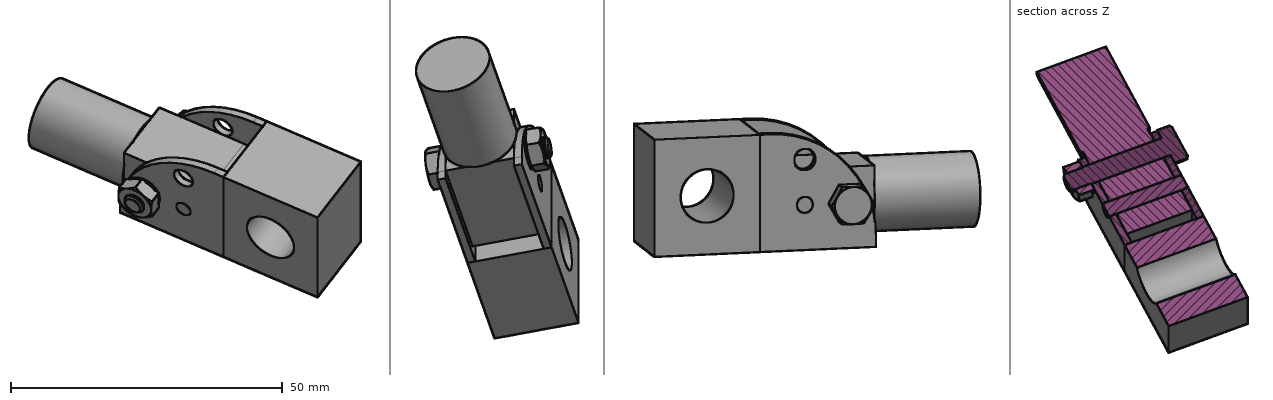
import cadquery as cq
import math

block_length = 20.0
block_width = 16.0
block_height = 22.0
block_hole_diameter = 10.0

plate_length = 22.0
plate_thickness = 1.5
plate_arc_radius = 20.0

shank_length = 20.0
shank_diameter = 14.0
head_length = 20.0
head_size = block_width - 2 * plate_thickness
head_fillet = 2.0

axis_height = 8.5
lock_radius = 8.5
pin_diameter = 3.0
bolt_diameter = 4.0
bolt_length = 20.0
bolt_head_height = 2.8
bolt_tip_chamfer = 0.4
hex_across_flats = 7.0
hex_chamfer_angle = 30.0
nut_height = 3.2
washer_face_height = 0.4
washer_face_diameter = 7.0

plate_start = shank_length
block_start = plate_start + plate_length
head_end = shank_length + head_length
pivot_x = head_end - head_size / 2
bolt_x = pivot_x - lock_radius
hole_z = axis_height + lock_radius
half_width = block_width / 2
half_hex_angle = 30.0
hex_across_corners = hex_across_flats / math.cos(math.radians(half_hex_angle))


def rod_y(x, z, diameter, y_start, length):
    """Round bar along +Y from y_start."""
    rod = cq.Workplane("XY").circle(diameter / 2).extrude(length)
    return place_on_y(rod, x, z, y_start, 1)


def place_on_y(shape, x, z, y_start, direction):
    """Turn a shape built up along +Z so that it points along Y, and move it to (x, y_start, z)."""
    turned = shape.rotate((0, 0, 0), (1, 0, 0), -90 * direction)
    return turned.translate((x, y_start, z))


def chamfered_hex(height):
    """Hexagonal prism along +Z, corners on X, with its far corners turned to a cone."""
    prism = cq.Workplane("XY").polygon(6, hex_across_corners).extrude(height)
    flat_radius = hex_across_flats / 2
    corner_radius = hex_across_corners / 2
    drop = (corner_radius - flat_radius) * math.tan(math.radians(hex_chamfer_angle))
    envelope = (
        cq.Workplane("XZ")
        .moveTo(0, 0)
        .lineTo(corner_radius, 0)
        .lineTo(corner_radius, height - drop)
        .lineTo(flat_radius, height)
        .lineTo(0, height)
        .close()
        .revolve(360, (0, 0, 0), (0, 1, 0))
    )
    return prism.intersect(envelope)


def make_block():
    block = cq.Workplane("XY").box(block_length, block_width, block_height, centered=(False, True, False))
    block = block.translate((block_start, 0, 0))
    hole_x = block_start + block_length / 2
    return block.cut(rod_y(hole_x, block_height / 2, block_hole_diameter, -half_width, block_width))


def make_plate(y_start):
    """Side plate with a quarter-round upper corner, filling y_start to y_start + thickness."""
    arc_base = block_height - plate_arc_radius
    arc_end = plate_start + plate_arc_radius
    diagonal = plate_arc_radius * math.sqrt(0.5)
    plate = (
        cq.Workplane("XZ", origin=(0, y_start, 0))
        .moveTo(plate_start, 0)
        .lineTo(plate_start, arc_base)
        .threePointArc((arc_end - diagonal, arc_base + diagonal), (arc_end, block_height))
        .lineTo(block_start, block_height)
        .lineTo(block_start, 0)
        .close()
        .extrude(-plate_thickness)
    )
    holes = (
        (bolt_x, axis_height, bolt_diameter),
        (pivot_x, axis_height, pin_diameter),
        (pivot_x, hole_z, bolt_diameter),
    )
    for x, z, diameter in holes:
        plate = plate.cut(rod_y(x, z, diameter, y_start, plate_thickness))
    return plate


def make_arm():
    shank = cq.Workplane("YZ", origin=(0, 0, axis_height)).circle(shank_diameter / 2).extrude(shank_length)
    head = (
        cq.Workplane("YZ", origin=(shank_length, 0, axis_height))
        .rect(head_size, head_size)
        .extrude(head_length)
        .edges(">X and >Z")
        .fillet(head_fillet)
    )
    arm = shank.union(head)
    for x, diameter in ((bolt_x, bolt_diameter), (pivot_x, pin_diameter)):
        arm = arm.cut(rod_y(x, axis_height, diameter, -half_width, block_width))
    return arm


def make_bolt():
    """Hexagon bolt with its head on the +Y plate and its tip beyond the -Y plate."""
    head = place_on_y(chamfered_hex(bolt_head_height), bolt_x, axis_height, half_width, 1)
    shank = rod_y(bolt_x, axis_height, bolt_diameter, half_width - bolt_length, bolt_length)
    shank = shank.faces("<Y").chamfer(bolt_tip_chamfer)
    return head.union(shank)


def make_nut():
    """Hexagon nut on the -Y plate, standing on a round washer face."""
    washer_face = cq.Workplane("XY").circle(washer_face_diameter / 2).extrude(washer_face_height)
    body_height = nut_height - washer_face_height
    body = chamfered_hex(body_height).rotate((0, 0, 0), (0, 0, 1), half_hex_angle)
    nut = washer_face.union(body.translate((0, 0, washer_face_height)))
    nut = nut.cut(cq.Workplane("XY").circle(bolt_diameter / 2).extrude(nut_height))
    return place_on_y(nut, bolt_x, axis_height, -half_width, -1)


block = make_block()
plates = [make_plate(y_start) for y_start in (-half_width, half_width - plate_thickness)]
arm = make_arm()
pin = rod_y(pivot_x, axis_height, pin_diameter, -half_width, block_width)
bolt = make_bolt()
nut = make_nut()

result = cq.Compound.makeCompound(
    [
        block.val(),
        *[plate.val() for plate in plates],
        arm.val(),
        pin.val(),
        bolt.val(),
        nut.val(),
    ]
)